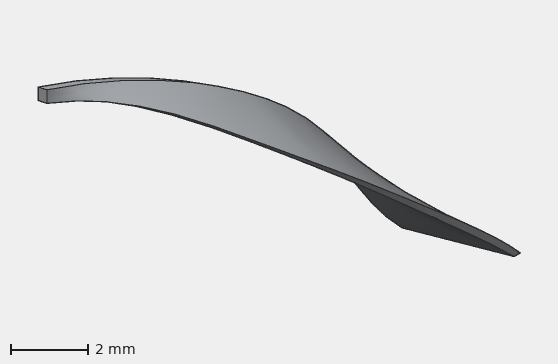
import cadquery as cq

length = 11.65
span = 7.36
height = 7.22

foot_width = 3.44
foot_thickness = 0.29
foot_left = span - foot_width
foot_front = length - foot_thickness

tip_thickness = 0.29
tip_depth = 0.38
tip_skew = 0.03
tip_bottom = height - tip_depth

left_inner_rail = [
    (0, tip_skew, height),
    (1.01, 2.11, 6.95),
    (2.07, 4.2, 6.31),
    (2.89, 6.31, 5.2),
    (3.33, 8.42, 3.37),
    (3.65, 9.82, 1.55),
    (foot_left, foot_front, 0),
]
left_outer_rail = [
    (tip_thickness, 0, height),
    (1.33, 2.11, 6.95),
    (2.4, 4.2, 6.34),
    (3.18, 6.31, 5.27),
    (3.56, 8.42, 3.58),
    (3.81, 10.17, 1.48),
    (foot_left, length, 0),
]
right_outer_rail = [
    (tip_thickness, 0, tip_bottom),
    (2.21, 2.11, 6.36),
    (4.31, 4.2, 5.07),
    (5.88, 6.31, 3.67),
    (6.85, 8.42, 2.25),
    (7.27, 10.17, 1.08),
    (span, length, 0),
]
right_inner_rail = [
    (0, tip_skew, tip_bottom),
    (1.9, 2.11, 6.31),
    (4.07, 4.2, 5.02),
    (5.72, 6.31, 3.54),
    (6.78, 8.42, 2.04),
    (7.23, 10.17, 0.84),
    (span, foot_front, 0),
]
rails = [left_inner_rail, left_outer_rail, right_outer_rail, right_inner_rail]


def smooth_edge(points):
    """Smooth curve through the points of one rail."""
    return cq.Edge.makeSpline([cq.Vector(*point) for point in points])


def end_face(corners):
    """Flat four-sided face that closes one end of the blade."""
    outline = cq.Wire.makePolygon([cq.Vector(*corner) for corner in corners], close=True)
    return cq.Face.makeFromWires(outline)


edges = [smooth_edge(rail) for rail in rails]
sides = [cq.Face.makeRuledSurface(edges[i - 1], edges[i]) for i in range(len(edges))]
tip = end_face([rail[0] for rail in rails])
foot = end_face([rail[-1] for rail in rails])

shell = cq.Shell.makeShell(sides + [tip, foot])
blade = cq.Solid.makeSolid(shell).fix()
result = cq.Workplane("XY").newObject([blade])